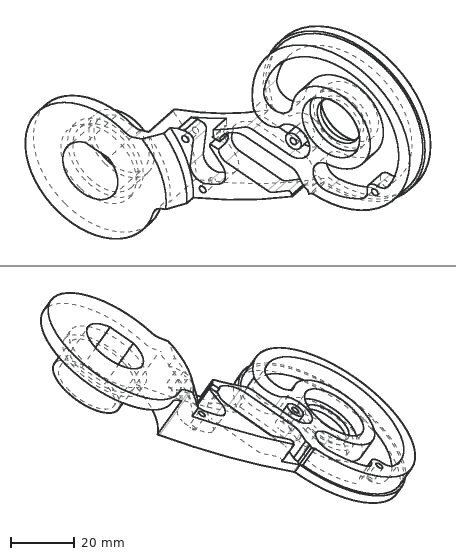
import cadquery as cq
import math

FLANGE_BACK = 4.5
ARM_FRONT = 8.3
FLOOR = 15.6
BOSS_BACK = 17.3
PLATE_BACK = 18.7

FLANGE_RADIUS = 25.0
SHOULDER_DIAMETER = 29.0
BOSS_DIAMETER = 25.0
SHAFT_RADIUS = 10.6
SHAFT_FLAT_DISTANCE = 9.6
SHAFT_FLAT_ANGLE = 75
CLEARANCE_RADIUS = 27.6
CONE_FRONT_RADIUS = 29.1
CONE_BACK_RADIUS = 33.9

UPPER_X, UPPER_Z = 86.7, 49.7
UPPER = (UPPER_X, UPPER_Z)
PLATE_RADIUS = 31.1
RIM_RADIUS = 30.3
BORE_DIAMETER = 16.5
COUNTERBORE_DIAMETER = 22.0
COUNTERBORE_DEPTH = 4.3

SLOT_INNER_RADIUS = 15.1
SLOT_OUTER_RADIUS = 26.0
SLOT_START, SLOT_END = -94, 172

SCREW_DIAMETER = 2.5
SCREW_DEPTH = 5.7
PIN = (72.3, 38.0)
PIN_DIAMETER = 6.0
PIN_POCKET_RADIUS = 6.3
RIM_SCREW = (103.6, 31.3)
LUG_RADIUS = 3.0
LUG_FILLET = 4.0
UPPER_ARM_SCREW = (30.7, 20.7)
LOWER_ARM_SCREW = (37.5, 3.6)

CHANNEL_CENTER = (42.6, 24.1)
CHANNEL_ANGLE = -13
CHANNEL_LENGTH = 5.1
CHANNEL_WIDTH = 3.3
CHANNEL_DEPTH = 5.1
CHANNEL_CORNER = 1.5

NECK_FILLET = 4.3
TIP_FILLET = 1.0


def plane(y):
    """Sketch plane facing the front, with local axes X and Z, at depth y."""
    return cq.Workplane("XZ", origin=(0, y, 0))


def cylinder(center, radius, front, back):
    return plane(front).center(*center).circle(radius).extrude(front - back)


def on_circle(center, radius, angle):
    a = math.radians(angle)
    return (center[0] + radius * math.cos(a), center[1] + radius * math.sin(a))


def arm(front, back):
    """Curved bar whose ends run into the two discs."""
    return (
        plane(front)
        .moveTo(7.1, 18.9)
        .lineTo(15.6, 20.3)
        .threePointArc((36.6, 27.0), (56.3, 37.1))
        .lineTo(71.5, 45.7)
        .lineTo(81.5, 21.5)
        .lineTo(77.9, 19.3)
        .threePointArc((53.3, 6.3), (28.0, -3.1))
        .lineTo(7.1, -7.9)
        .close()
        .extrude(front - back)
    )


def round_edges(body, x_range, z_range, radius):
    """Round the edges along Y found inside an X and Z window."""
    low = (x_range[0], -1.5, z_range[0])
    high = (x_range[1], PLATE_BACK + 1.5, z_range[1])
    return body.edges("|Y").edges(cq.selectors.BoxSelector(low, high)).fillet(radius)


def make_lower_disc():
    origin = (0, 0)
    disc = cylinder(origin, FLANGE_RADIUS, 0, FLANGE_BACK)
    beveled_arm = arm(0, ARM_FRONT).intersect(make_bevel())
    disc = disc.union(beveled_arm.intersect(cylinder(origin, 2 * FLANGE_RADIUS, 0, FLANGE_BACK)))
    disc = round_edges(disc, (12.9, 18.6), (17.1, 22.9), NECK_FILLET)
    disc = round_edges(disc, (21.5, 27.1), (-7.1, -1.5), NECK_FILLET)
    behind = beveled_arm.cut(cylinder(origin, CLEARANCE_RADIUS, 0, ARM_FRONT))
    disc = disc.union(behind)
    disc = disc.union(cylinder(origin, SHOULDER_DIAMETER / 2, FLANGE_BACK, ARM_FRONT))
    return disc.union(cylinder(origin, BOSS_DIAMETER / 2, ARM_FRONT, BOSS_BACK))


def make_bevel():
    """Round envelope with a 45 degree front edge, limiting the stepped end of the arm."""
    cone_depth = CONE_BACK_RADIUS - CONE_FRONT_RADIUS
    return (
        cq.Workplane("XY")
        .polyline([
            (0, 0),
            (CONE_FRONT_RADIUS, 0),
            (CONE_BACK_RADIUS, cone_depth),
            (CONE_BACK_RADIUS, ARM_FRONT),
            (0, ARM_FRONT),
        ])
        .close()
        .revolve(360, (0, 0, 0), (0, 1, 0))
    )


def make_shaft_hole():
    hole = cylinder((0, 0), SHAFT_RADIUS, 0, BOSS_BACK)
    side = 4 * SHAFT_RADIUS
    keep = (
        plane(0)
        .transformed(rotate=(0, 0, SHAFT_FLAT_ANGLE))
        .center(SHAFT_FLAT_DISTANCE - side / 2, 0)
        .rect(side, side)
        .extrude(-BOSS_BACK)
    )
    return hole.intersect(keep)


def make_upper_body():
    plate = cylinder(UPPER, PLATE_RADIUS, FLOOR, PLATE_BACK).union(arm(FLOOR, PLATE_BACK))
    plate = round_edges(plate, (52.9, 60), (34.3, 41.5), NECK_FILLET)
    rim = cylinder(UPPER, RIM_RADIUS, ARM_FRONT, FLOOR).union(arm(ARM_FRONT, FLOOR))
    body = plate.union(rim)
    return body.cut(cylinder((0, 0), CLEARANCE_RADIUS, 0, PLATE_BACK))


def make_c_pocket():
    middle = (SLOT_INNER_RADIUS + SLOT_OUTER_RADIUS) / 2
    half_width = (SLOT_OUTER_RADIUS - SLOT_INNER_RADIUS) / 2
    halfway = (SLOT_START + SLOT_END) / 2

    def at(radius, angle):
        return on_circle(UPPER, radius, angle)

    pocket = (
        plane(ARM_FRONT)
        .moveTo(*at(SLOT_OUTER_RADIUS, SLOT_START))
        .threePointArc(at(SLOT_OUTER_RADIUS, halfway), at(SLOT_OUTER_RADIUS, SLOT_END))
        .tangentArcPoint(at(SLOT_INNER_RADIUS, SLOT_END), relative=False)
        .threePointArc(at(SLOT_INNER_RADIUS, halfway), at(SLOT_INNER_RADIUS, SLOT_START))
        .tangentArcPoint(at(SLOT_OUTER_RADIUS, SLOT_START), relative=False)
        .close()
        .extrude(ARM_FRONT - FLOOR)
    )
    outward = math.degrees(math.atan2(RIM_SCREW[1] - UPPER_Z, RIM_SCREW[0] - UPPER_X))
    lug = (
        plane(ARM_FRONT)
        .center(*RIM_SCREW)
        .transformed(rotate=(0, 0, outward))
        .moveTo(0, LUG_RADIUS)
        .threePointArc((-LUG_RADIUS, 0), (0, -LUG_RADIUS))
        .lineTo(middle, -LUG_RADIUS)
        .lineTo(middle, LUG_RADIUS)
        .close()
        .extrude(ARM_FRONT - FLOOR)
    )
    pocket = pocket.cut(lug)
    x_range = (RIM_SCREW[0] - half_width, RIM_SCREW[0] + half_width)
    z_range = (RIM_SCREW[1] - half_width, RIM_SCREW[1] + half_width)
    return round_edges(pocket, x_range, z_range, LUG_FILLET)


def make_pin_pocket():
    """Pocket around the pin, open to the side at the neck."""
    return (
        plane(ARM_FRONT)
        .moveTo(52.7, 35.1)
        .threePointArc((54.6, 35.9), (56.6, 35.9))
        .lineTo(*on_circle(PIN, PIN_POCKET_RADIUS, -105))
        .threePointArc(
            on_circle(PIN, PIN_POCKET_RADIUS, 20), on_circle(PIN, PIN_POCKET_RADIUS, 145)
        )
        .threePointArc((62.3, 40.3), (56.7, 45.0))
        .lineTo(51.5, 45.0)
        .close()
        .extrude(ARM_FRONT - FLOOR)
    )


def make_side_pocket():
    """Pocket in the middle of the arm, open through its lower edge."""
    return (
        plane(ARM_FRONT)
        .moveTo(44.3, 27.3)
        .threePointArc((47.1, 30.3), (51.6, 32.1))
        .lineTo(53.6, 32.0)
        .lineTo(71.5, 27.3)
        .threePointArc((73.0, 26.6), (74.1, 25.1))
        .lineTo(76.1, 21.9)
        .lineTo(77.7, 20.9)
        .lineTo(79.3, 17.1)
        .lineTo(72.9, 14.3)
        .lineTo(71.6, 16.1)
        .threePointArc((71.5, 17.0), (70.3, 17.5))
        .lineTo(64.7, 14.3)
        .threePointArc((63.6, 13.9), (62.3, 14.0))
        .lineTo(46.3, 18.5)
        .threePointArc((44.1, 20.3), (43.6, 22.9))
        .close()
        .extrude(ARM_FRONT - FLOOR)
    )


def make_end_pocket():
    """Pocket at the stepped end of the arm, open through its upper edge."""
    return (
        plane(0)
        .moveTo(41.6, 32.9)
        .lineTo(41.6, 26.5)
        .lineTo(40.9, 26.0)
        .lineTo(40.1, 22.0)
        .lineTo(45.1, 16.1)
        .threePointArc((46.0, 11.5), (42.9, 8.0))
        .lineTo(38.9, 6.5)
        .threePointArc((34.3, 7.6), (32.7, 11.5))
        .lineTo(33.9, 21.6)
        .threePointArc((33.3, 23.1), (31.9, 23.7))
        .lineTo(30.5, 24.0)
        .lineTo(28.1, 23.7)
        .lineTo(28.1, 30)
        .close()
        .extrude(-FLOOR)
    )


def make_channel():
    channel = cq.Workplane("XY").box(CHANNEL_LENGTH, CHANNEL_DEPTH, CHANNEL_WIDTH)
    channel = channel.edges("|X and >Y").fillet(CHANNEL_CORNER)
    channel = channel.rotate((0, 0, 0), (0, 1, 0), -CHANNEL_ANGLE)
    return channel.translate((CHANNEL_CENTER[0], ARM_FRONT + CHANNEL_DEPTH / 2, CHANNEL_CENTER[1]))


def make_bore():
    bore = cylinder(UPPER, BORE_DIAMETER / 2, 0, PLATE_BACK)
    seat_back = ARM_FRONT + COUNTERBORE_DEPTH
    for front, back in ((ARM_FRONT, seat_back), (PLATE_BACK - COUNTERBORE_DEPTH, PLATE_BACK)):
        bore = bore.union(cylinder(UPPER, COUNTERBORE_DIAMETER / 2, front, back))
    return bore


result = make_upper_body()
for pocket in (make_c_pocket(), make_pin_pocket(), make_side_pocket(), make_channel(), make_bore()):
    result = result.cut(pocket)
result = result.union(make_lower_disc())
result = round_edges(result, (17.9, 20), (19.3, 21.5), TIP_FILLET)
result = result.cut(make_end_pocket())
result = result.cut(make_shaft_hole())
result = result.union(cylinder(PIN, PIN_DIAMETER / 2, ARM_FRONT, FLOOR))

screw_holes = [
    (PIN, ARM_FRONT),
    (RIM_SCREW, ARM_FRONT),
    (UPPER_ARM_SCREW, ARM_FRONT),
    (LOWER_ARM_SCREW, ARM_FRONT),
]
for center, front in screw_holes:
    result = result.cut(cylinder(center, SCREW_DIAMETER / 2, front, front + SCREW_DEPTH))